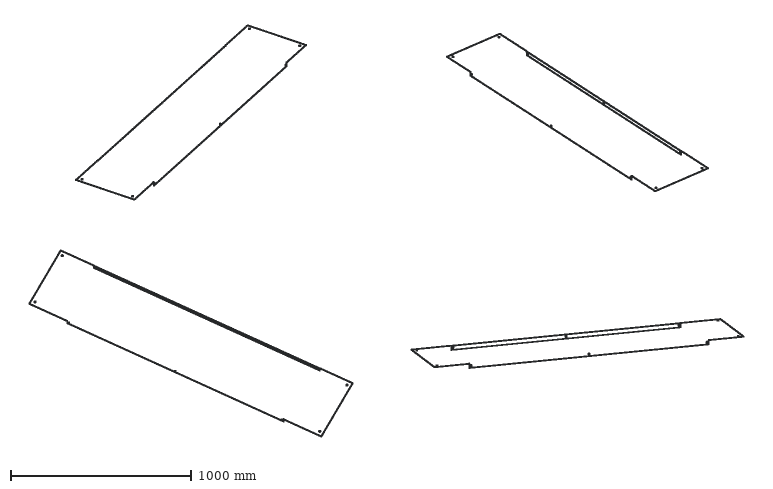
import cadquery as cq

length = 1822.0
width = 379.0
height = 25.0
thickness = 1.5
bend_radius = 3.0

left_flange_length = 1350.0
right_flange_length = 1410.0

corner_hole_diameter = 7.1
corner_hole_spacing_x = 328.0
corner_hole_spacing_y = 1775.0

flange_hole_diameter = 7.1
flange_hole_drop = 13.0
flange_hole_end_distance = 10.0


def make_panel():
    """Flat sheet, left narrower beside each flange where the bend takes over."""
    panel = cq.Workplane("XY").box(width, length, thickness)
    for side, flange_length in ((-1, left_flange_length), (1, right_flange_length)):
        bend_strip = cq.Workplane("XY").box(bend_radius, flange_length, thickness)
        panel = panel.cut(bend_strip.translate((side * (width - bend_radius) / 2, 0, 0)))
    return panel.translate((0, 0, height - thickness / 2))


def make_flange(side, flange_length):
    """Bend and flange on one side (-1 for -X, 1 for +X), with its three holes."""
    outer_x = side * width / 2
    inner_x = side * (width / 2 - thickness)
    bend_x = side * (width / 2 - bend_radius)
    bend_z = height - bend_radius
    flange = (
        cq.Workplane("XZ")
        .moveTo(outer_x, 0)
        .lineTo(outer_x, bend_z)
        .radiusArc((bend_x, height), -side * bend_radius)
        .lineTo(bend_x, height - thickness)
        .radiusArc((inner_x, bend_z), side * (bend_radius - thickness))
        .lineTo(inner_x, 0)
        .close()
        .extrude(flange_length / 2, both=True)
    )
    end_hole_y = flange_length / 2 - flange_hole_end_distance
    holes = (
        cq.Workplane("YZ")
        .pushPoints([(y, height - flange_hole_drop) for y in (-end_hole_y, 0, end_hole_y)])
        .circle(flange_hole_diameter / 2)
        .extrude(width, both=True)
    )
    return flange.cut(holes)


def make_corner_holes():
    """Cutters through the panel near its four corners."""
    return (
        cq.Workplane("XY")
        .rect(corner_hole_spacing_x, corner_hole_spacing_y, forConstruction=True)
        .vertices()
        .circle(corner_hole_diameter / 2)
        .extrude(height)
    )


result = (
    make_panel()
    .union(make_flange(-1, left_flange_length))
    .union(make_flange(1, right_flange_length))
    .cut(make_corner_holes())
)